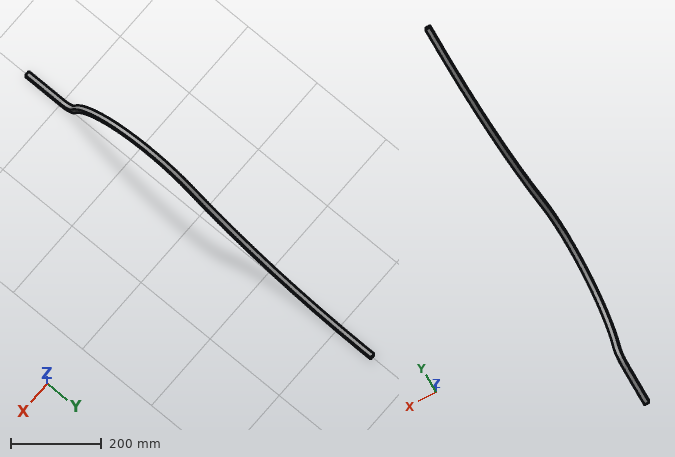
import cadquery as cq
import math

bar_size = 12.0
overall_length = 1000.0
overall_height = 199.0

long_sweep_straight = 30.0
tight_bend_straight = 100.0
dome_offset = 649.0
dome_radius = 223.0

rise = overall_height - bar_size
sweep_run = dome_offset - long_sweep_straight
bend_run = overall_length - dome_offset - tight_bend_straight
base_z = bar_size / 2
dome_y = overall_length / 2 - dome_offset
dome_center_z = base_z + rise - dome_radius


def flank_angle(run):
    """Turning angle of each arc in an S that climbs `rise` over `run`."""
    return 2 * math.atan(rise / run)


def foot_radius(run):
    """Radius of the lower arc of the S, tangent to both the straight and the dome."""
    return run / math.sin(flank_angle(run)) - dome_radius


def arc_point(center_y, center_z, radius, angle):
    """Point on a circle, with the angle measured from +Z toward +Y."""
    return (center_y + radius * math.sin(angle), center_z + radius * math.cos(angle))


def foot_point(side, run, turn):
    """Point on the lower arc, `turn` along from the straight; side is +1 at +Y and -1 at -Y."""
    radius = foot_radius(run)
    return arc_point(dome_y + side * run, base_z + radius, radius, math.pi + side * turn)


def dome_point(angle):
    return arc_point(dome_y, dome_center_z, dome_radius, angle)


sweep_angle = flank_angle(sweep_run)
bend_angle = flank_angle(bend_run)

centerline = (
    cq.Workplane("YZ")
    .moveTo(overall_length / 2, base_z)
    .lineTo(*foot_point(1, sweep_run, 0))
    .threePointArc(foot_point(1, sweep_run, sweep_angle / 2), dome_point(sweep_angle))
    .threePointArc(dome_point(0), dome_point(-bend_angle))
    .threePointArc(foot_point(-1, bend_run, bend_angle / 2), foot_point(-1, bend_run, 0))
    .lineTo(-overall_length / 2, base_z)
)

result = (
    cq.Workplane("XZ", origin=(0, overall_length / 2, base_z))
    .rect(bar_size, bar_size)
    .sweep(centerline)
)